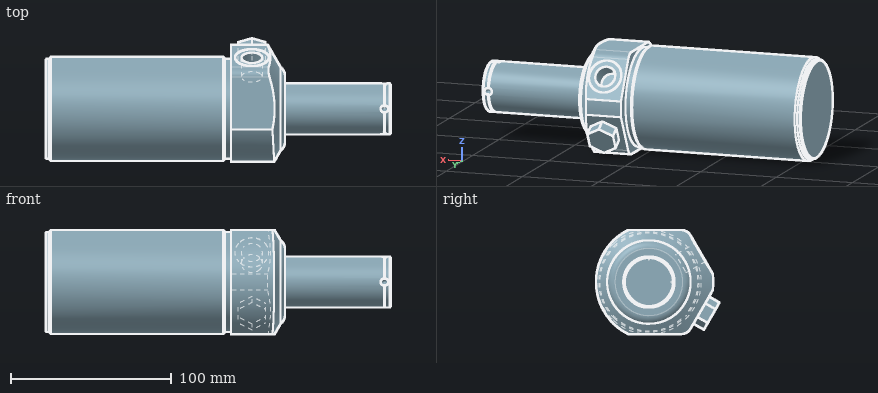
import cadquery as cq
import math

total_length = 214.95
body_end = 111.7
head_start = 115.3
head_end = 149.1

body_radius = 32.5
back_face_radius = 30.5
back_lip_radius = 31.2
back_lip_chamfer = back_lip_radius - back_face_radius
back_lip_length = 2.3
back_chamfer_end = 3.5
neck_radius = 31.2
body_end_chamfer = body_radius - neck_radius

head_half_height = 32.5
port_face_offset = 37.0
port_face_angle = 30.0
head_nose_reach = 40.15
head_corner_radius = 7.0
head_round_reach = 33.0
head_round_radius = 36.2
cone_angle = 30.0
cone_start_x = 142.3
cone_end_radius = 26.0
shoulder_end_radius = 21.0
shoulder_arc_radius = 7.0

port_x = 128.4
port_diameter = 13.0
port_depth = 14.0
spotface_diameter = 21.0
spotface_depth = 0.3
plug_across_flats = 17.0
plug_offset = 44.5
plug_shift = 1.15

rod_radius = 16.0
rod_chamfer = 1.0
rod_groove_x = 210.9
rod_groove_width = 0.6
rod_groove_depth = 0.4
dimple_count = 4
dimple_diameter = 4.8
dimple_depth = dimple_diameter / 2


def revolve_about_x(points):
    """Revolve a closed (x, radius) outline about the X axis."""
    outline = cq.Workplane("XY").polyline(points).close()
    return outline.revolve(360, (0, 0, 0), (1, 0, 0))


def make_body():
    """Cylinder barrel with a stepped back lip and a neck next to the head."""
    return revolve_about_x([
        (0, 0),
        (0, back_face_radius),
        (back_lip_chamfer, back_lip_radius),
        (back_lip_length, back_lip_radius),
        (back_chamfer_end, body_radius),
        (body_end - body_end_chamfer, body_radius),
        (body_end, neck_radius),
        (head_start, neck_radius),
        (head_start, 0),
    ])


def make_head():
    """Head with two flats, two slanted faces and a round opposite the nose."""
    tilt = math.radians(port_face_angle)
    round_centre = head_round_radius - head_round_reach
    round_edge_y = round_centre - math.sqrt(head_round_radius ** 2 - head_half_height ** 2)
    corner_y = (port_face_offset - head_half_height * math.sin(tilt)) / math.cos(tilt)
    nose_y = port_face_offset / math.cos(tilt)
    head = (
        cq.Workplane("YZ")
        .workplane(offset=head_start)
        .moveTo(round_edge_y, head_half_height)
        .lineTo(corner_y, head_half_height)
        .lineTo(nose_y, 0)
        .lineTo(corner_y, -head_half_height)
        .lineTo(round_edge_y, -head_half_height)
        .threePointArc((-head_round_reach, 0), (round_edge_y, head_half_height))
        .close()
        .extrude(head_end - head_start)
    )
    middle_x = (head_start + head_end) / 2
    for side in (1, -1):
        corner = cq.selectors.NearestToPointSelector((middle_x, corner_y, side * head_half_height))
        head = head.edges("|X").edges(corner).fillet(head_corner_radius)
    return head.intersect(make_head_envelope())


def make_head_envelope():
    """Round blank that trims the nose and forms the front cone and rounded shoulder."""
    slope = math.tan(math.radians(cone_angle))
    cone_base_x = cone_start_x - (head_nose_reach - head_round_reach) * slope
    cone_end_x = cone_start_x + (head_round_reach - cone_end_radius) * slope
    outline = (
        cq.Workplane("XY")
        .moveTo(head_start, 0)
        .lineTo(head_start, head_nose_reach)
        .lineTo(cone_base_x, head_nose_reach)
        .lineTo(cone_end_x, cone_end_radius)
        .radiusArc((head_end, shoulder_end_radius), shoulder_arc_radius)
        .lineTo(head_end, 0)
        .close()
    )
    return outline.revolve(360, (0, 0, 0), (1, 0, 0))


def make_rod():
    """Piston rod with a ring groove crossed by conical dimples."""
    groove_start = rod_groove_x - rod_groove_width / 2
    groove_end = rod_groove_x + rod_groove_width / 2
    groove_radius = rod_radius - rod_groove_depth
    rod = revolve_about_x([
        (head_start, 0),
        (head_start, rod_radius),
        (groove_start, rod_radius),
        (groove_start, groove_radius),
        (groove_end, groove_radius),
        (groove_end, rod_radius),
        (total_length - rod_chamfer, rod_radius),
        (total_length, rod_radius - rod_chamfer),
        (total_length, 0),
    ])
    dimple = cq.Workplane(
        cq.Solid.makeCone(
            0,
            dimple_diameter / 2,
            dimple_depth,
            pnt=cq.Vector(rod_groove_x, 0, rod_radius - dimple_depth),
        )
    )
    for index in range(dimple_count):
        rod = rod.cut(dimple.rotate((0, 0, 0), (1, 0, 0), 360 / dimple_count * index))
    return rod


def tilted_plane(angle, offset):
    """Plane facing outward from the X axis, tilted up from +Y by the angle."""
    tilt = math.radians(angle)
    normal = (0, math.cos(tilt), math.sin(tilt))
    origin = (port_x, offset * normal[1], offset * normal[2])
    return cq.Plane(origin=origin, xDir=(1, 0, 0), normal=normal)


def make_port():
    """Cutter for the spotfaced blind port in the upper slanted face."""
    face = cq.Workplane(tilted_plane(port_face_angle, port_face_offset))
    spotface = face.circle(spotface_diameter / 2).extrude(-spotface_depth)
    bore = face.circle(port_diameter / 2).extrude(-port_depth)
    return spotface.union(bore)


def make_plug():
    """Hexagonal plug on the lower slanted face, rooted inside the head."""
    across_corners = plug_across_flats / math.cos(math.pi / 6)
    return (
        cq.Workplane(tilted_plane(-port_face_angle, body_radius))
        .center(0, -plug_shift)
        .transformed(rotate=(0, 0, 90))
        .polygon(6, across_corners)
        .extrude(plug_offset - body_radius)
    )


result = (
    make_body()
    .union(make_head())
    .union(make_rod())
    .union(make_plug())
    .cut(make_port())
)